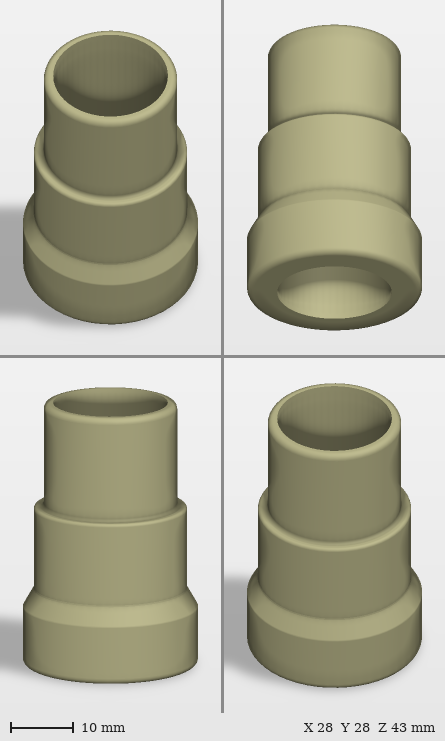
import cadquery as cq
import math

length = 43.0
base_radius = 28.0 / 2
middle_radius = 12.25
neck_radius = 10.65
bore_radius = 9.15

cone_bottom = 9.5
cone_angle = 30.0
shoulder_height = 26.0

end_round = 1.0
step_round = 0.5

cone_height = (base_radius - middle_radius) / math.tan(math.radians(cone_angle))
cone_top = cone_bottom + cone_height


def round_edges(body, radius, places):
    """Fillet the circular edges that lie at the given (radius, height) places."""
    edges = [
        edge
        for edge in body.edges("%CIRCLE").vals()
        for edge_radius, height in places
        if math.isclose(edge.radius(), edge_radius, abs_tol=4.3e-05)
        and math.isclose(edge.Center().z, height, abs_tol=4.3e-05)
    ]
    return body.newObject(edges).fillet(radius)


outer = (
    cq.Workplane("XZ")
    .polyline(
        [
            (0, 0),
            (base_radius, 0),
            (base_radius, cone_bottom),
            (middle_radius, cone_top),
            (middle_radius, shoulder_height),
            (neck_radius, shoulder_height),
            (neck_radius, length),
            (0, length),
        ]
    )
    .close()
    .revolve(360, (0, 0, 0), (0, 1, 0))
)

outer = round_edges(outer, end_round, [(base_radius, 0), (neck_radius, length)])

outer = round_edges(
    outer,
    step_round,
    [
        (base_radius, cone_bottom),
        (middle_radius, cone_top),
        (middle_radius, shoulder_height),
        (neck_radius, shoulder_height),
    ],
)

bore = cq.Workplane("XY").circle(bore_radius).extrude(length)
result = outer.cut(bore)